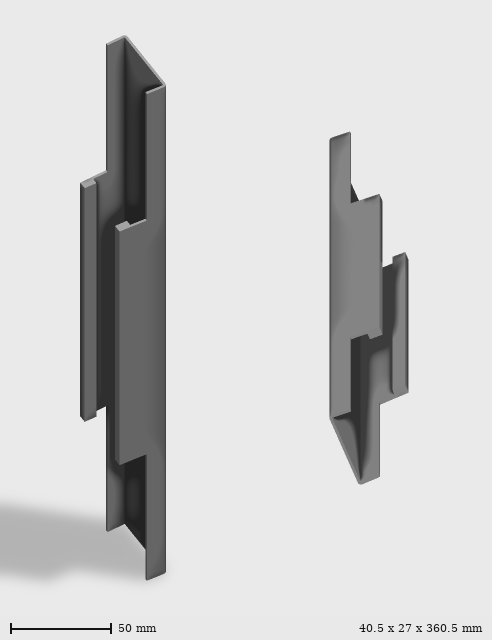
import cadquery as cq
import math

length = 360.5
width = 40.5
depth = 27.0

sheet = 1.5
wall_lean = 1.0
bend_radius = 1.8

end_wall_depth = 11.5
deep_length = 173.0

strip_reach = 5.5
strip_depth = 7.0

back_y = depth / 2
front_y = -depth / 2
half_width = width / 2
bend_end_y = back_y - bend_radius
strip_back_y = front_y + strip_depth
cut_length = (length - deep_length) / 2


def wall_outer_x(y):
    """Half width over the outside of the leaning walls; widest where the bend ends."""
    return half_width - wall_lean * (bend_end_y - y) / depth


def wall_inner_x(y):
    """Half width between the inside faces of the leaning walls."""
    lean_angle = math.atan(wall_lean / depth)
    return wall_outer_x(y) - sheet / math.cos(lean_angle)


def extrude_centered(points, height):
    """Closed XY outline extruded along Z, half to each side of the origin."""
    return cq.Workplane("XY").polyline(points).close().extrude(height / 2, both=True)


def make_channel():
    """Bent sheet channel whose walls are cut back at both ends."""
    web_front_y = back_y - sheet
    right_side = [
        (wall_inner_x(web_front_y), web_front_y),
        (wall_inner_x(front_y), front_y),
        (wall_outer_x(front_y), front_y),
        (wall_outer_x(back_y), back_y),
    ]
    left_side = [(-x, y) for x, y in reversed(right_side)]
    channel = extrude_centered(right_side + left_side, length)
    channel = channel.edges("|Z and >Y").fillet(bend_radius)

    cut_depth = depth - end_wall_depth
    for end in (-1, 1):
        cutter = cq.Workplane("XY").box(width, cut_depth, cut_length).translate(
            (0, front_y + cut_depth / 2, end * (length - cut_length) / 2)
        )
        channel = channel.cut(cutter)
    return channel


def make_strip(side):
    """Solid strip against the inside of one wall; side is -1 or 1."""
    inner_x = half_width - strip_reach
    outline = [
        (side * inner_x, front_y),
        (side * wall_inner_x(front_y), front_y),
        (side * wall_inner_x(strip_back_y), strip_back_y),
        (side * inner_x, strip_back_y),
    ]
    return extrude_centered(outline, deep_length)


channel = make_channel()
strips = [make_strip(side) for side in (-1, 1)]

result = cq.Compound.makeCompound([channel.val(), *[strip.val() for strip in strips]])